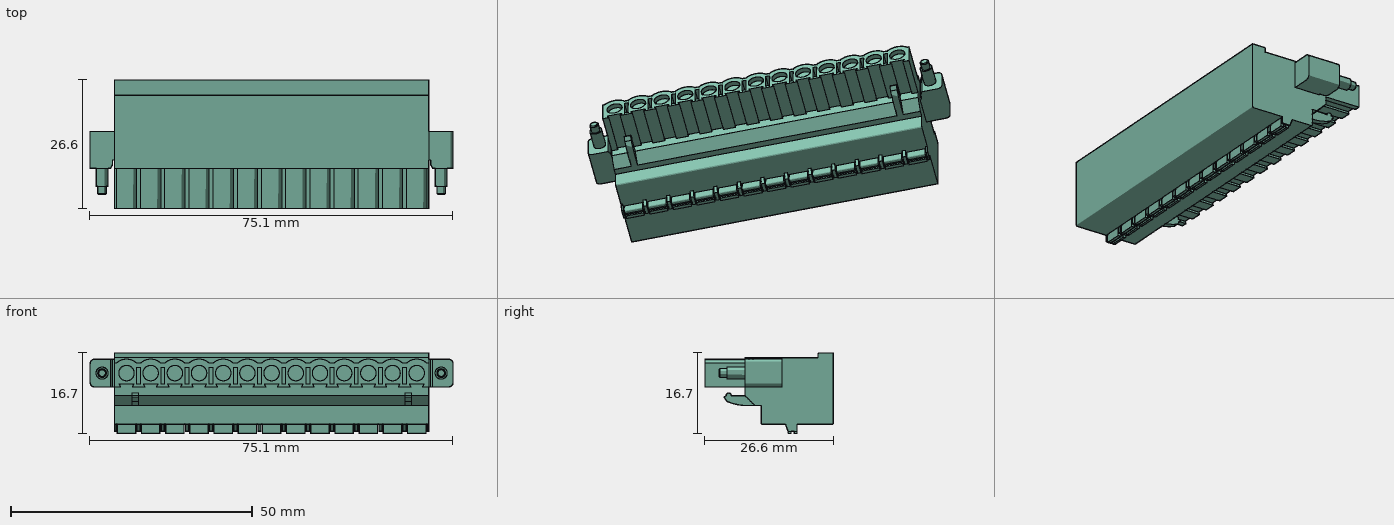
import cadquery as cq

PITCH = 5.0
POSITIONS = 13
BODY_LENGTH = PITCH * POSITIONS
TOTAL_LENGTH = 75.1

LIP_TOP_Z = 14.8
LIP_DEPTH = 3.2
LIP_FILLET = 0.3
BODY_TOP_Z = 13.8
BODY_DEPTH = 18.3
SLOPE_TOP_Z = 5.95
SLOPE_FOOT_DEPTH = 16.2
LEDGE_Z = 3.85
BASE_DEPTH = 14.95
BASE_FILLET = 0.35

SOCKET_TIP_DEPTH = 26.6
SOCKET_LENGTH = SOCKET_TIP_DEPTH - BODY_DEPTH
SOCKET_AXIS_Z = 10.6
SOCKET_TOP_Z = 13.5
SOCKET_BOTTOM_Z = 7.7
VALLEY_Z = 12.65
ARCH_WIDTH = 4.2
HOLE_DIAMETER = 3.2
HOLE_DEPTH = 1.0
GAP_WIDTH = 0.8
GAP_TOP_Z = 11.75
GAP_BOTTOM_Z = 8.35
GROOVE_TOP_WIDTH = 3.0
GROOVE_MOUTH_WIDTH = 2.4

FLANGE_BACK_DEPTH = 10.65
FLANGE_TOP_Z = SOCKET_TOP_Z
FLANGE_CORNER_RADIUS = 1.0
RELIEF_WIDTH = 0.35
RELIEF_LENGTH = 1.7
RELIEF_BEVEL_WIDTH = 0.45
RELIEF_BEVEL_LENGTH = 0.8
SCREW_X = 35.05
SCREW_DIAMETER = 2.5
SCREW_LENGTH = 3.75
SCREW_TIP_DIAMETER = 1.8
SCREW_TIP_LENGTH = 1.65
SCREW_TIP_CHAMFER = 0.2

LATCH_X = 28.2
LATCH_WIDTH = 1.35
LATCH_TIP_DEPTH = 22.65
LATCH_TIP_Z = 5.65
LATCH_NOSE_DEPTH = 22.0
LATCH_NOSE_Z = 4.7
LATCH_BELLY_DEPTH = 20.3
LATCH_BELLY_Z = 4.15
BUMP_DEPTH = 21.65
BUMP_RADIUS = 0.55

TAB_WIDTH = 3.85
TAB_BOTTOM_Z = -1.9
TAB_BACK_DEPTH = 7.5
TAB_FRONT_DEPTH = 9.4
TAB_FILLET = 0.25
TAB_SLOT_WIDTH = 0.6
WEDGE_WIDTH = 0.7
WEDGE_BOTTOM_Z = -1.45
WEDGE_ROOT_DEPTH = 9.95

socket_xs = [PITCH * (i - (POSITIONS - 1) / 2) for i in range(POSITIONS)]
boundary_xs = [PITCH * (i - POSITIONS / 2) for i in range(POSITIONS + 1)]


def box(x_min, x_max, depth_min, depth_max, z_min, z_max):
    """Axis-aligned box, with depth measured from the back face toward -Y."""
    size = (x_max - x_min, depth_max - depth_min, z_max - z_min)
    return cq.Workplane("XY").box(*size, centered=False).translate((x_min, -depth_max, z_min))


def side_sketch(x):
    """Sketch plane at x whose coordinates are (Y, Z)."""
    return cq.Workplane("YZ", origin=(x, 0, 0))


def front_cylinder(x, depth, diameter, length):
    """Cylinder on the socket axis height that starts at a depth and runs toward -Y."""
    return cq.Workplane("XZ", origin=(x, -depth, SOCKET_AXIS_Z)).circle(diameter / 2).extrude(length)


def make_housing():
    outline = [
        (0, 0),
        (0, LIP_TOP_Z),
        (-LIP_DEPTH, LIP_TOP_Z),
        (-LIP_DEPTH, BODY_TOP_Z),
        (-BODY_DEPTH, BODY_TOP_Z),
        (-BODY_DEPTH, SLOPE_TOP_Z),
        (-SLOPE_FOOT_DEPTH, LEDGE_Z),
        (-BASE_DEPTH, LEDGE_Z),
        (-BASE_DEPTH, 0),
    ]
    housing = side_sketch(-BODY_LENGTH / 2).polyline(outline).close().extrude(BODY_LENGTH)
    housing = housing.faces("<Z").edges("|X").fillet(BASE_FILLET)
    return housing.faces(">Z").edges("|X and <Y").fillet(LIP_FILLET)


def socket_sketch(x):
    """Sketch plane at the root of a socket whose coordinates are (X - x, Z)."""
    return cq.Workplane("XZ", origin=(x, -BODY_DEPTH, 0))


def make_socket_arch(x):
    half = ARCH_WIDTH / 2
    return (
        socket_sketch(x)
        .moveTo(-half, SOCKET_BOTTOM_Z)
        .lineTo(-half, VALLEY_Z)
        .threePointArc((0, SOCKET_TOP_Z), (half, VALLEY_Z))
        .lineTo(half, SOCKET_BOTTOM_Z)
        .close()
        .extrude(SOCKET_LENGTH)
    )


def make_dovetail(x):
    """Groove below a socket, wider at its top than at its mouth."""
    top_half, mouth_half = GROOVE_TOP_WIDTH / 2, GROOVE_MOUTH_WIDTH / 2
    outline = [
        (-mouth_half, SOCKET_BOTTOM_Z),
        (-top_half, GAP_BOTTOM_Z),
        (top_half, GAP_BOTTOM_Z),
        (mouth_half, SOCKET_BOTTOM_Z),
    ]
    return socket_sketch(x).polyline(outline).close().extrude(SOCKET_LENGTH)


def make_sockets():
    """Row of sockets with arched tops, holes, slots between them and grooves below."""
    half = BODY_LENGTH / 2
    row = box(-half, half, BODY_DEPTH, SOCKET_TIP_DEPTH, SOCKET_BOTTOM_Z, VALLEY_Z)
    for x in socket_xs:
        row = row.union(make_socket_arch(x))
    for x in socket_xs:
        row = row.cut(front_cylinder(x, SOCKET_TIP_DEPTH - HOLE_DEPTH, HOLE_DIAMETER, HOLE_DEPTH))
        row = row.cut(make_dovetail(x))
    for x in boundary_xs[1:-1]:
        left, right = x - GAP_WIDTH / 2, x + GAP_WIDTH / 2
        row = row.cut(box(left, right, BODY_DEPTH, SOCKET_TIP_DEPTH, GAP_BOTTOM_Z, GAP_TOP_Z))
    return row


def make_flange():
    """Screw flange on the +X end, set clear of the housing at its front by a bevelled notch."""
    inner, outer = BODY_LENGTH / 2, TOTAL_LENGTH / 2
    flange = box(inner, outer, FLANGE_BACK_DEPTH, BODY_DEPTH, SOCKET_BOTTOM_Z, FLANGE_TOP_Z)
    flange = flange.edges("|Y and >X").fillet(FLANGE_CORNER_RADIUS)
    bevel_side = inner + RELIEF_WIDTH + RELIEF_BEVEL_WIDTH
    relief_outline = [
        (inner, -BODY_DEPTH + RELIEF_LENGTH),
        (inner + RELIEF_WIDTH, -BODY_DEPTH + RELIEF_LENGTH),
        (inner + RELIEF_WIDTH, -BODY_DEPTH + RELIEF_BEVEL_LENGTH),
        (bevel_side, -BODY_DEPTH),
        (inner, -BODY_DEPTH),
    ]
    flange_height = FLANGE_TOP_Z - SOCKET_BOTTOM_Z
    relief = cq.Workplane("XY", origin=(0, 0, SOCKET_BOTTOM_Z)).polyline(relief_outline).close()
    flange = flange.cut(relief.extrude(flange_height))
    shank = front_cylinder(SCREW_X, BODY_DEPTH, SCREW_DIAMETER, SCREW_LENGTH)
    tip = front_cylinder(SCREW_X, BODY_DEPTH + SCREW_LENGTH, SCREW_TIP_DIAMETER, SCREW_TIP_LENGTH)
    tip = tip.faces("<Y").edges().chamfer(SCREW_TIP_CHAMFER)
    return flange.union(shank).union(tip)


def make_latch(x):
    """Finger that reaches forward below the sockets, with a round bump on top near its tip."""
    return (
        side_sketch(x - LATCH_WIDTH / 2)
        .moveTo(-SLOPE_FOOT_DEPTH, LEDGE_Z)
        .lineTo(-SLOPE_FOOT_DEPTH, SLOPE_TOP_Z)
        .lineTo(-BUMP_DEPTH + BUMP_RADIUS, SLOPE_TOP_Z)
        .threePointArc((-BUMP_DEPTH, SLOPE_TOP_Z + BUMP_RADIUS), (-BUMP_DEPTH - BUMP_RADIUS, SLOPE_TOP_Z))
        .lineTo(-LATCH_TIP_DEPTH, LATCH_TIP_Z)
        .lineTo(-LATCH_NOSE_DEPTH, LATCH_NOSE_Z)
        .threePointArc((-LATCH_BELLY_DEPTH, LATCH_BELLY_Z), (-BODY_DEPTH, LEDGE_Z))
        .close()
        .extrude(LATCH_WIDTH)
    )


def make_tab(x):
    tab = box(x - TAB_WIDTH / 2, x + TAB_WIDTH / 2, TAB_BACK_DEPTH, TAB_FRONT_DEPTH, TAB_BOTTOM_Z, 0)
    tab = tab.faces("<Z").edges("<Y").fillet(TAB_FILLET)
    middle = (TAB_BACK_DEPTH + TAB_FRONT_DEPTH) / 2
    slot = box(
        x - TAB_WIDTH / 2, x + TAB_WIDTH / 2,
        middle - TAB_SLOT_WIDTH / 2, middle + TAB_SLOT_WIDTH / 2,
        TAB_BOTTOM_Z, WEDGE_BOTTOM_Z,
    )
    return tab.cut(slot)


def make_wedge(x):
    """Small rib with a sloping front, kept within the housing ends."""
    left = max(x - WEDGE_WIDTH / 2, -BODY_LENGTH / 2)
    right = min(x + WEDGE_WIDTH / 2, BODY_LENGTH / 2)
    outline = [
        (-TAB_BACK_DEPTH, 0),
        (-WEDGE_ROOT_DEPTH, 0),
        (-TAB_FRONT_DEPTH, WEDGE_BOTTOM_Z),
        (-TAB_BACK_DEPTH, WEDGE_BOTTOM_Z),
    ]
    return side_sketch(left).polyline(outline).close().extrude(right - left)


flange = make_flange()
result = make_housing().union(make_sockets()).union(flange).union(flange.mirror("YZ"))
for x in (-LATCH_X, LATCH_X):
    result = result.union(make_latch(x))
for x in socket_xs:
    result = result.union(make_tab(x))
for x in boundary_xs:
    result = result.union(make_wedge(x))